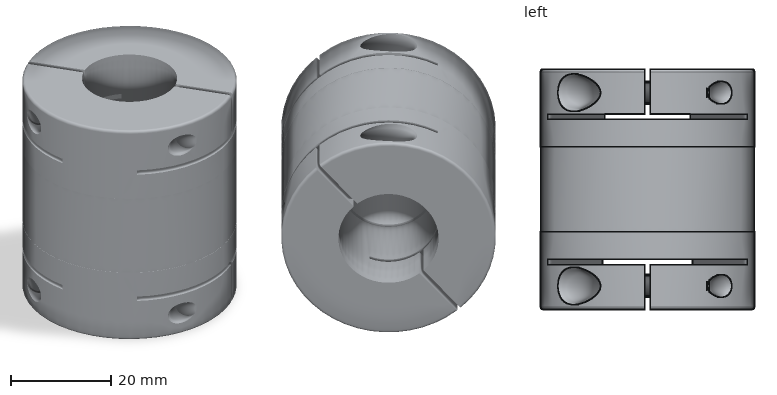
import cadquery as cq
import math


LENGTH = 48.0
HUB_DIAMETER = 42.8
HUB_LENGTH = 15.5
SLEEVE_DIAMETER = 42.7
RIM_FILLET = 0.6
TOP_BORE_DIAMETER = 19.0
BOTTOM_BORE_DIAMETER = 20.0

CUT_WIDTH = 1.0
CAP_LENGTH = 9.0
WEB_HALF_WIDTH = 7.8
WEB_TAPER_ANGLE = 17.0

SCREW_OFFSET = 15.5
SCREW_INSET = 4.7
COUNTERBORE_DIAMETER = 7.5
COUNTERBORE_FLOOR_Y = 8.0
SCREW_HOLE_DIAMETER = 4.5
SCREW_HOLE_FLOOR_Y = -11.8
LEFT_SHANK_DIAMETER = 4.0
RIGHT_SHANK_DIAMETER = 4.6
TIP_DIAMETER = 3.1
TIP_LENGTH = 0.5

HUB_RADIUS = HUB_DIAMETER / 2
MID_HEIGHT = LENGTH / 2
SLEEVE_TOP = LENGTH - HUB_LENGTH


def cylinder(diameter, z_start, z_end):
    """Cylinder on the coupling axis."""
    return cq.Workplane("XY", origin=(0, 0, z_start)).circle(diameter / 2).extrude(z_end - z_start)


def rod(diameter, x, z, y_start, y_end):
    """Cylinder parallel to Y through (x, z); the XZ plane extrudes toward -Y."""
    return cq.Workplane("XZ", origin=(x, y_end, z)).circle(diameter / 2).extrude(y_end - y_start)


def make_body():
    """Two hubs joined by a slightly slimmer sleeve, with a stepped bore."""
    body = cylinder(HUB_DIAMETER, 0, LENGTH).faces("<Z or >Z").edges().fillet(RIM_FILLET)
    body = body.cut(cylinder(HUB_DIAMETER, HUB_LENGTH, SLEEVE_TOP))
    body = body.union(cylinder(SLEEVE_DIAMETER, HUB_LENGTH, SLEEVE_TOP))
    body = body.cut(cylinder(BOTTOM_BORE_DIAMETER, 0, MID_HEIGHT))
    return body.cut(cylinder(TOP_BORE_DIAMETER, MID_HEIGHT, LENGTH))


def make_cap_slot(z_start):
    """Horizontal slot through the hub wall, interrupted by the two tapered webs."""
    web_edge_y = math.sqrt(HUB_RADIUS**2 - WEB_HALF_WIDTH**2)
    taper_slope = math.tan(math.radians(WEB_TAPER_ANGLE))
    axis_half_width = WEB_HALF_WIDTH - web_edge_y * taper_slope
    end_half_width = axis_half_width + HUB_RADIUS * taper_slope
    webs = (
        cq.Workplane("XY", origin=(0, 0, z_start))
        .polyline(
            [
                (axis_half_width, 0),
                (end_half_width, HUB_RADIUS),
                (-end_half_width, HUB_RADIUS),
                (-axis_half_width, 0),
                (-end_half_width, -HUB_RADIUS),
                (end_half_width, -HUB_RADIUS),
            ]
        )
        .close()
        .extrude(CUT_WIDTH)
    )
    return cylinder(HUB_DIAMETER, z_start, z_start + CUT_WIDTH).cut(webs)


def make_cap_slit(z_start):
    """Vertical slit across the diameter that splits a clamp cap into two halves."""
    return cq.Workplane("XY", origin=(0, 0, z_start)).box(
        HUB_DIAMETER, CUT_WIDTH, CAP_LENGTH, centered=(True, True, False)
    )


def make_screw_tip(x, z):
    """Tapered screw end standing on the floor of its hole."""
    return (
        cq.Workplane("XZ", origin=(x, SCREW_HOLE_FLOOR_Y, z))
        .circle(SCREW_HOLE_DIAMETER / 2)
        .workplane(offset=TIP_LENGTH)
        .circle(TIP_DIAMETER / 2)
        .loft()
    )


def add_screw(body, x, z, shank_diameter):
    """Head counterbore on +Y, blind hole on -Y, and the shank bridging the slit."""
    body = body.cut(rod(COUNTERBORE_DIAMETER, x, z, COUNTERBORE_FLOOR_Y, HUB_RADIUS))
    body = body.cut(rod(SCREW_HOLE_DIAMETER, x, z, -HUB_RADIUS, SCREW_HOLE_FLOOR_Y))
    return body.union(rod(shank_diameter, x, z, -CUT_WIDTH, CUT_WIDTH))


result = make_body()

for slot_base in (CAP_LENGTH, LENGTH - CAP_LENGTH - CUT_WIDTH):
    result = result.cut(make_cap_slot(slot_base))

for cap_base in (0, LENGTH - CAP_LENGTH):
    result = result.cut(make_cap_slit(cap_base))

for screw_height in (SCREW_INSET, LENGTH - SCREW_INSET):
    result = add_screw(result, -SCREW_OFFSET, screw_height, LEFT_SHANK_DIAMETER)
    result = add_screw(result, SCREW_OFFSET, screw_height, RIGHT_SHANK_DIAMETER)
    result = result.union(make_screw_tip(-SCREW_OFFSET, screw_height))